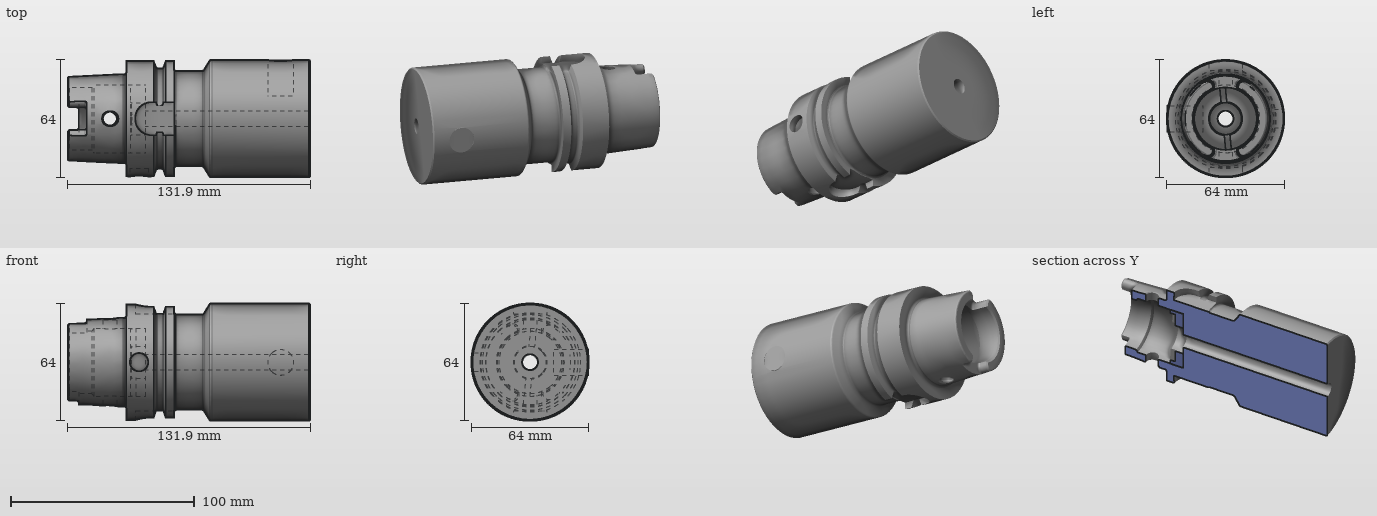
import cadquery as cq
TOTAL_LENGTH = 131.9
CHUCK_RADIUS = 32.0
CHUCK_END_CHAMFER = 0.7

TIP_RADIUS = 22.8
TIP_ROUND = 0.8
TIP_ROUND_RADIUS = 0.88
TAPER_SLOPE = 1 / 20
TAPER_LENGTH = 29.8
RELIEF_RADIUS = 24.1
RELIEF_FILLET = 1.2

FLANGE_START = 31.8
FLANGE_END = 57.8
FLANGE_RADIUS = 31.5
GROOVE_CENTRE = 50.0
GROOVE_FLOOR_RADIUS = 27.4
GROOVE_FLOOR_WIDTH = 3.6
GROOVE_FILLET = 0.8
GROOVE_MOUTH_WIDTH = 6.7

NECK_RADIUS = 26.0
NECK_END = 73.7
NECK_FILLET = 1.0
SHOULDER_END = 77.4
SHOULDER_ROUND = 1.4

MOUTH_RADIUS = 17.0
MOUTH_LENGTH = 13.0
MOUTH_CHAMFER = 0.85
CAVITY_RADIUS = 18.5
CAVITY_STEP_LENGTH = 1.0
COOLANT_HOLE_RADIUS = 4.25

RING_FRONT = 34.0
RING_THICKNESS = 8.0
RING_BORE_RADIUS = 8.7
RING_BORE_CHAMFER = 0.4
RING_SLOT_WIDTH = 3.1
RING_SLOT_DEPTH = 3.0
RING_SLOT_TILT = 5.5
CAVITY_END = RING_FRONT + RING_THICKNESS

DRIVE_SLOT_WIDTH = 12.2
DRIVE_SLOT_DEPTH_TOP = 10.2
DRIVE_SLOT_DEPTH_BOTTOM = 5.9
DRIVE_SLOT_CORNER = 1.0
DRIVE_SLOT_CHAMFER = 0.9
DRIVE_SLOT_FLARE = 3.3
SLOT_CLEARANCE = 5.0
FLARE_TOP = 21.0

CROSS_HOLE_X = 22.85
CROSS_HOLE_RADIUS = 3.75
CROSS_HOLE_RIM_START = 23.2
CROSS_HOLE_RIM_HEIGHT = 1.5

KEYWAY_WIDTH = 18.0
KEYWAY_START = 36.6
KEYWAY_FLOOR = 26.4

CHIP_POCKET_X = 38.75
CHIP_POCKET_RADIUS = 5.0
CHIP_POCKET_DEPTH = 4.6

SCREW_X = 115.7
SCREW_RADIUS = 7.0
SCREW_INNER_Y = 12.5
SCREW_OUTER_Y = 31.7


def x_cylinder(radius, start, end):
    return cq.Workplane("YZ").workplane(offset=start).circle(radius).extrude(end - start)


def revolve_about_x(outline):
    return outline.close().revolve(360, (0, 0, 0), (1, 0, 0))


def edges_near(x, radius):
    """Box that takes in the edges lying at this x within this radius of the X axis."""
    slack = 0.1
    low = (x - slack, -radius - slack, -radius - slack)
    high = (x + slack, radius + slack, radius + slack)
    return cq.selectors.BoxSelector(low, high, boundingbox=True)


def outer_shape():
    floor_half = GROOVE_FLOOR_WIDTH / 2
    mouth_half = GROOVE_MOUTH_WIDTH / 2
    relief_start = FLANGE_START - RELIEF_FILLET
    outline = (
        cq.Workplane("XY")
        .lineTo(0, TIP_RADIUS - TIP_ROUND)
        .radiusArc((TIP_ROUND, TIP_RADIUS + TAPER_SLOPE * TIP_ROUND), TIP_ROUND_RADIUS)
        .lineTo(TAPER_LENGTH, TIP_RADIUS + TAPER_SLOPE * TAPER_LENGTH)
        .lineTo(relief_start, RELIEF_RADIUS)
        .radiusArc((FLANGE_START, RELIEF_RADIUS + RELIEF_FILLET), -RELIEF_FILLET)
        .lineTo(FLANGE_START, FLANGE_RADIUS)
        .lineTo(GROOVE_CENTRE - mouth_half, FLANGE_RADIUS)
        .lineTo(GROOVE_CENTRE - floor_half, GROOVE_FLOOR_RADIUS)
        .lineTo(GROOVE_CENTRE + floor_half, GROOVE_FLOOR_RADIUS)
        .lineTo(GROOVE_CENTRE + mouth_half, FLANGE_RADIUS)
        .lineTo(FLANGE_END, FLANGE_RADIUS)
        .lineTo(FLANGE_END, NECK_RADIUS)
        .lineTo(NECK_END, NECK_RADIUS)
        .lineTo(SHOULDER_END, CHUCK_RADIUS)
        .lineTo(TOTAL_LENGTH - CHUCK_END_CHAMFER, CHUCK_RADIUS)
        .lineTo(TOTAL_LENGTH, CHUCK_RADIUS - CHUCK_END_CHAMFER)
        .lineTo(TOTAL_LENGTH, 0)
    )
    shape = revolve_about_x(outline)
    for edge_x, edge_radius, fillet in (
        (GROOVE_CENTRE - floor_half, GROOVE_FLOOR_RADIUS, GROOVE_FILLET),
        (GROOVE_CENTRE + floor_half, GROOVE_FLOOR_RADIUS, GROOVE_FILLET),
        (FLANGE_END, NECK_RADIUS, NECK_FILLET),
        (NECK_END, NECK_RADIUS, NECK_FILLET),
        (SHOULDER_END, CHUCK_RADIUS, SHOULDER_ROUND),
    ):
        shape = shape.edges(edges_near(edge_x, edge_radius)).fillet(fillet)
    return shape


def axial_bores():
    outline = (
        cq.Workplane("XY")
        .lineTo(0, MOUTH_RADIUS + MOUTH_CHAMFER)
        .lineTo(MOUTH_CHAMFER, MOUTH_RADIUS)
        .lineTo(MOUTH_LENGTH, MOUTH_RADIUS)
        .lineTo(MOUTH_LENGTH + CAVITY_STEP_LENGTH, CAVITY_RADIUS)
        .lineTo(CAVITY_END, CAVITY_RADIUS)
        .lineTo(CAVITY_END, COOLANT_HOLE_RADIUS)
        .lineTo(TOTAL_LENGTH, COOLANT_HOLE_RADIUS)
        .lineTo(TOTAL_LENGTH, 0)
    )
    return revolve_about_x(outline)


def drive_slot(depth, side):
    """Notch across the tip wall on the +Z (side=1) or -Z (side=-1) half, flared at the outside."""
    half = DRIVE_SLOT_WIDTH / 2
    flare_half = half + DRIVE_SLOT_FLARE
    flare_bottom = FLARE_TOP - DRIVE_SLOT_FLARE
    top = TIP_RADIUS + SLOT_CLEARANCE
    profile = (
        cq.Workplane("YZ")
        .moveTo(-half, 0)
        .lineTo(-half, flare_bottom)
        .radiusArc((-flare_half, FLARE_TOP), -DRIVE_SLOT_FLARE)
        .lineTo(-flare_half, top)
        .lineTo(flare_half, top)
        .lineTo(flare_half, FLARE_TOP)
        .radiusArc((half, flare_bottom), -DRIVE_SLOT_FLARE)
        .lineTo(half, 0)
        .close()
    )
    slot = profile.extrude(depth).faces(">X").edges().fillet(DRIVE_SLOT_CORNER)
    plate_size = 4 * top
    plate = cq.Workplane("YZ").rect(plate_size, plate_size).extrude(-1)
    slot = slot.union(plate).edges(edges_near(0, top)).chamfer(DRIVE_SLOT_CHAMFER)
    if side < 0:
        slot = slot.rotate((0, 0, 0), (1, 0, 0), 180)
    return slot


def cross_hole():
    """Hole along Z through both walls of the shank, with a 45 degree countersink at each rim."""
    rim_end = CROSS_HOLE_RIM_START + CROSS_HOLE_RIM_HEIGHT
    rim_radius = CROSS_HOLE_RADIUS + CROSS_HOLE_RIM_HEIGHT
    return (
        cq.Workplane("XZ")
        .moveTo(0, -rim_end)
        .lineTo(rim_radius, -rim_end)
        .lineTo(CROSS_HOLE_RADIUS, -CROSS_HOLE_RIM_START)
        .lineTo(CROSS_HOLE_RADIUS, CROSS_HOLE_RIM_START)
        .lineTo(rim_radius, rim_end)
        .lineTo(0, rim_end)
        .close()
        .revolve(360, (0, 0, 0), (0, 1, 0))
        .translate((CROSS_HOLE_X, 0, 0))
    )


def keyway(side):
    """Flat-floored pocket, round at the shank end and open toward the neck."""
    half = KEYWAY_WIDTH / 2
    centre_x = KEYWAY_START + half
    pocket = (
        cq.Workplane("XY")
        .workplane(offset=KEYWAY_FLOOR)
        .moveTo(FLANGE_END, -half)
        .lineTo(centre_x, -half)
        .threePointArc((KEYWAY_START, 0), (centre_x, half))
        .lineTo(FLANGE_END, half)
        .close()
        .extrude(FLANGE_RADIUS - KEYWAY_FLOOR)
    )
    if side < 0:
        pocket = pocket.rotate((0, 0, 0), (1, 0, 0), 180)
    return pocket


def chip_pocket():
    floor = FLANGE_RADIUS - CHIP_POCKET_DEPTH
    return (
        cq.Workplane("XZ")
        .workplane(offset=floor)
        .center(CHIP_POCKET_X, 0)
        .circle(CHIP_POCKET_RADIUS)
        .extrude(CHIP_POCKET_DEPTH)
    )


def screw_cylinder(outer_y):
    return (
        cq.Workplane("XZ")
        .workplane(offset=-outer_y)
        .center(SCREW_X, 0)
        .circle(SCREW_RADIUS)
        .extrude(outer_y - SCREW_INNER_Y)
    )


def make_holder():
    holder = outer_shape().cut(axial_bores())
    for depth, side in ((DRIVE_SLOT_DEPTH_TOP, 1), (DRIVE_SLOT_DEPTH_BOTTOM, -1)):
        holder = holder.cut(drive_slot(depth, side)).cut(keyway(side))
    holder = holder.cut(cross_hole())
    holder = holder.cut(chip_pocket())
    return holder.cut(screw_cylinder(CHUCK_RADIUS))


def make_slotted_ring():
    ring = x_cylinder(CAVITY_RADIUS, RING_FRONT, CAVITY_END)
    ring = ring.cut(x_cylinder(RING_BORE_RADIUS, RING_FRONT, CAVITY_END))
    ring = ring.edges(edges_near(RING_FRONT, RING_BORE_RADIUS)).chamfer(RING_BORE_CHAMFER)
    slot = (
        cq.Workplane("XY")
        .box(RING_SLOT_DEPTH, RING_SLOT_WIDTH, 2 * CAVITY_RADIUS, centered=(False, True, True))
        .translate((RING_FRONT, 0, 0))
        .rotate((0, 0, 0), (1, 0, 0), -RING_SLOT_TILT)
    )
    return ring.cut(slot)


holder = make_holder()
slotted_ring = make_slotted_ring()
clamping_screw = screw_cylinder(SCREW_OUTER_Y)

result = cq.Compound.makeCompound([holder.val(), slotted_ring.val(), clamping_screw.val()])